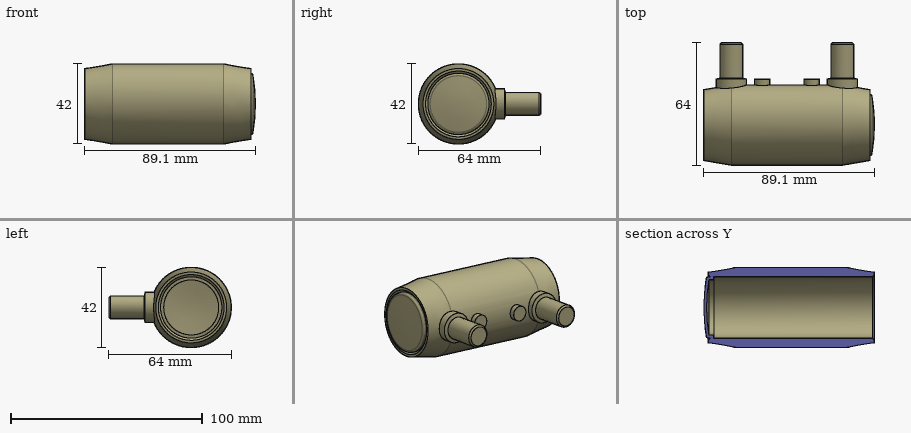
import cadquery as cq
import math

overall_length = 89.1
overall_width = 64.0
tube_length = 86.8
tube_diameter = 42.0
end_diameter = 37.0
taper_length = 14.4
bore_diameter = 32.0
bore_chamfer = 1.2

cap_edge_round = 1.25
cap_dome_rise = 1.25
cap_recess_diameter = 28.7
cap_depth = 3.0
cap_wall = (bore_diameter - cap_recess_diameter) / 2

pin_diameter = 12.0
pin_tip_y = overall_width - tube_diameter / 2
pin_chamfer = 0.9
collar_diameter = 16.0
collar_height_y = 24.0
collar_cone_height = 0.5
boss_diameter = 8.0
boss_tip_y = 24.0
boss_spacing = 25.85
root_y = bore_diameter / 2 + 0.9

pin_positions = (taper_length, tube_length - taper_length)
boss_positions = (
    (tube_length - boss_spacing) / 2,
    (tube_length + boss_spacing) / 2,
)


def revolve_about_x(profile):
    return profile.close().revolve(360, (0, 0, 0), (1, 0, 0))


def make_solid_body():
    """Solid barrel with a conical taper at both ends."""
    profile = (
        cq.Workplane("XY")
        .lineTo(0, end_diameter / 2)
        .lineTo(taper_length, tube_diameter / 2)
        .lineTo(tube_length - taper_length, tube_diameter / 2)
        .lineTo(tube_length, end_diameter / 2)
        .lineTo(tube_length, 0)
    )
    return revolve_about_x(profile)


def make_bore():
    """Through bore, flared by a chamfer at both mouths."""
    bore_radius = bore_diameter / 2
    mouth_radius = bore_radius + bore_chamfer
    profile = (
        cq.Workplane("XY")
        .lineTo(0, mouth_radius)
        .lineTo(bore_chamfer, bore_radius)
        .lineTo(tube_length - bore_chamfer, bore_radius)
        .lineTo(tube_length, mouth_radius)
        .lineTo(tube_length, 0)
    )
    return revolve_about_x(profile)


def make_cap():
    """Cup-shaped cap with a rounded rim, a domed outside and a parallel domed recess."""
    outer_radius = bore_diameter / 2
    recess_radius = cap_recess_diameter / 2
    dome_radius = outer_radius - cap_edge_round
    inner_x = tube_length - cap_depth
    rim_x = overall_length - cap_dome_rise
    round_start_x = rim_x - cap_edge_round

    sphere_radius = (dome_radius**2 + cap_dome_rise**2) / (2 * cap_dome_rise)
    sphere_x = overall_length - sphere_radius
    recess_sphere_radius = sphere_radius - cap_wall

    def on_dome(radius, from_axis):
        return sphere_x + math.sqrt(radius**2 - from_axis**2), from_axis

    round_offset = cap_edge_round * math.sqrt(0.5)
    profile = (
        cq.Workplane("XY")
        .moveTo(inner_x, recess_radius)
        .lineTo(inner_x, outer_radius)
        .lineTo(round_start_x, outer_radius)
        .threePointArc(
            (round_start_x + round_offset, dome_radius + round_offset),
            (rim_x, dome_radius),
        )
        .threePointArc(on_dome(sphere_radius, dome_radius / 2), (overall_length, 0))
        .lineTo(overall_length - cap_wall, 0)
        .threePointArc(
            on_dome(recess_sphere_radius, recess_radius / 2),
            on_dome(recess_sphere_radius, recess_radius),
        )
    )
    return revolve_about_x(profile)


def make_post(x, diameter, tip_y):
    """Cylinder along +Y, from inside the tube wall to tip_y."""
    plane = cq.Plane(origin=(x, root_y, 0), xDir=(1, 0, 0), normal=(0, 1, 0))
    return cq.Workplane(plane).circle(diameter / 2).extrude(tip_y - root_y)


def make_pin(x):
    """Chamfered pin rising from a collar with a shallow conical top."""
    pin = make_post(x, pin_diameter, pin_tip_y).faces(">Y").chamfer(pin_chamfer)
    cone_width = (collar_diameter - pin_diameter) / 2
    collar_top_y = collar_height_y + collar_cone_height
    collar = make_post(x, collar_diameter, collar_top_y)
    collar = collar.faces(">Y").edges().chamfer(collar_cone_height, cone_width)
    return pin.union(collar)


result = make_solid_body()
for pin_x in pin_positions:
    result = result.union(make_pin(pin_x))
for boss_x in boss_positions:
    result = result.union(make_post(boss_x, boss_diameter, boss_tip_y))
result = result.cut(make_bore()).union(make_cap())